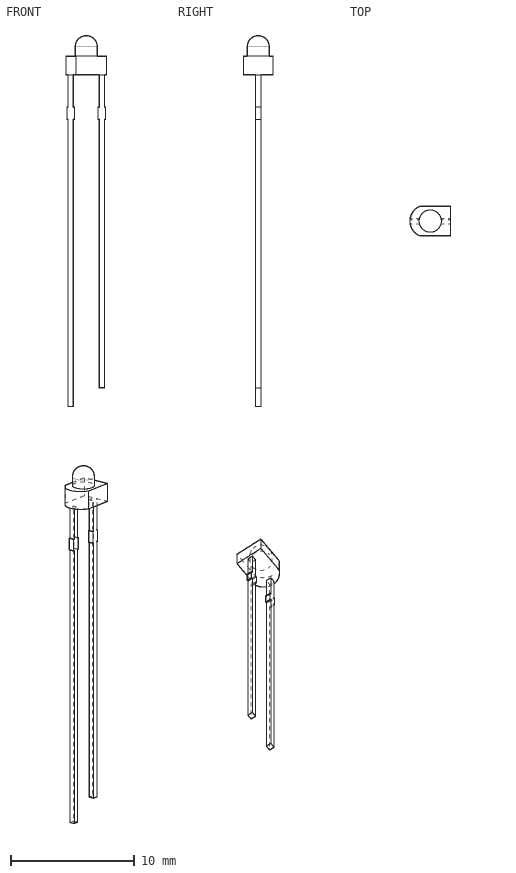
import cadquery as cq

total_height = 30.1

base_length = 3.3
base_width = 2.4
base_height = 1.55
bow_depth = 0.8
lens_diameter = 1.8
lens_radius = lens_diameter / 2
lens_cylinder_height = 0.75

lead_thickness = 0.45
lead_spacing = 2.53
stop_width = 0.63
stop_height = 1.0
stop_gap = 2.62
lead_length_difference = 1.5
long_lead_length = total_height - base_height - lens_cylinder_height - lens_radius
short_lead_length = long_lead_length - lead_length_difference


def make_base():
    """Flat-sided base on Z = 0, with its -X end bowed outward."""
    half_length = base_length / 2
    half_width = base_width / 2
    bow_start = -half_length + bow_depth
    return (
        cq.Workplane("XY")
        .moveTo(bow_start, -half_width)
        .lineTo(half_length, -half_width)
        .lineTo(half_length, half_width)
        .lineTo(bow_start, half_width)
        .threePointArc((-half_length, 0), (bow_start, -half_width))
        .close()
        .extrude(base_height)
    )


def make_lens():
    """Short cylinder with a hemispherical top, revolved about the Z axis."""
    dome_start = base_height + lens_cylinder_height
    dome_top = dome_start + lens_radius
    dome_middle = lens_radius * 0.5**0.5
    return (
        cq.Workplane("XZ")
        .moveTo(0, base_height)
        .lineTo(lens_radius, base_height)
        .lineTo(lens_radius, dome_start)
        .threePointArc((dome_middle, dome_start + dome_middle), (0, dome_top))
        .close()
        .revolve(360, (0, 0), (0, 1))
    )


def make_housing():
    """Base and lens moulded as one body."""
    return make_base().union(make_lens())


def make_lead(x, length):
    """Lead hanging from the underside of the base, with its stop."""
    wire = (
        cq.Workplane("XY")
        .center(x, 0)
        .rect(lead_thickness, lead_thickness)
        .extrude(-length)
    )
    stop = (
        cq.Workplane("XY", origin=(x, 0, -stop_gap))
        .rect(stop_width, lead_thickness)
        .extrude(-stop_height)
    )
    return wire.union(stop)


housing = make_housing()
lead_places = [
    (-lead_spacing / 2, long_lead_length),
    (lead_spacing / 2, short_lead_length),
]
leads = [make_lead(x, length) for x, length in lead_places]

result = cq.Compound.makeCompound([housing.val(), *[lead.val() for lead in leads]])